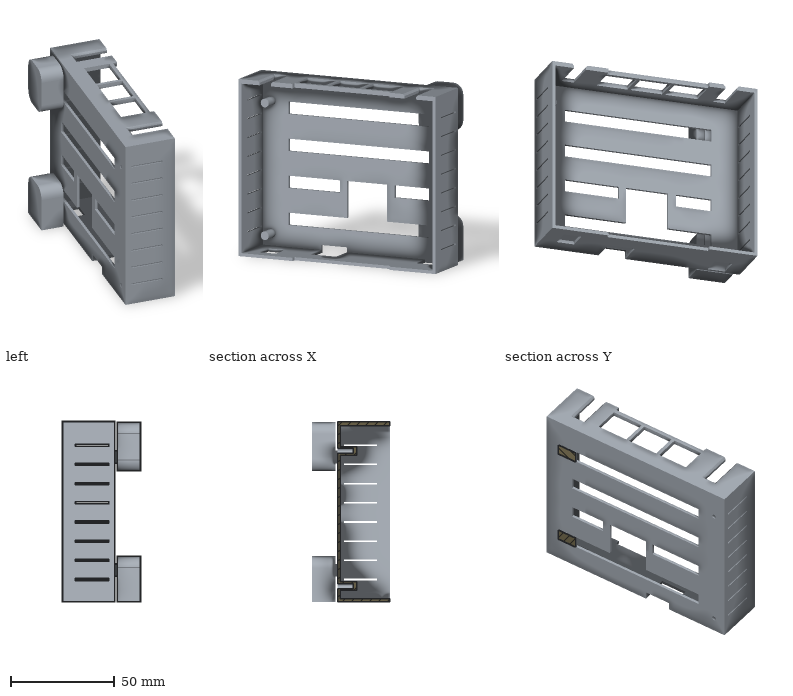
import cadquery as cq

LENGTH = 105.8
HEIGHT = 87.6
DEPTH = 25.5
TOTAL_DEPTH = 38.0
WALL = 1.6
TOP_WALL = 2.2
FRONT_WALL = 1.4

RELIEF_START = 24.9
RELIEF_END = 76.8
RELIEF_DEPTH = 2.1

SLOT_LEFT = 15.1
SLOT_RIGHT = 90.5
SLOT_HEIGHT = 6.1
SLOT_PITCH = 18.3
LOWEST_SLOT = 12.4
SLOT_COUNT = 4
SPLIT_SLOT = 2

OPENING_LEFT = 37.6
OPENING_RIGHT = 59.0
BRIDGE_LEFT = 33.4
BRIDGE_RIGHT = 62.7

CUTOUT_LEFT = OPENING_RIGHT
CUTOUT_RIGHT = 72.8
CUTOUT_HEIGHT = 4.0
CUTOUT_DEPTH = 13.8

WINDOWS = [(RELIEF_START, 41.4), (43.1, 59.1), (60.9, RELIEF_END)]
WINDOW_FRONT = 8.5
WINDOW_BACK = 21.4

NOTCH_CENTERS = [13.5, 91.5]
NOTCH_WIDTH = 6.1
NOTCH_FRONT = 8.0
NOTCH_CHAMFER = 1.0

FLOOR_HOLE_LENGTH = 9.0
FLOOR_HOLE_DEPTH = 10.4
FLOOR_HOLES = [(8.0, FRONT_WALL), (88.7, 9.1)]

VENT_COUNT = 8
VENT_PITCH = 9.3
LOWEST_VENT = 10.9
VENT_FRONT = 3.1
VENT_LENGTH = 16.0
VENT_HEIGHT = 0.79

BOSS_X = 99.6
BOSS_HEIGHTS = [7.7, 73.3]
BOSS_DIAMETER = 4.2
BOSS_END = 9.3
SCREW_HOLE_DIAMETER = 2.2
SCREW_HOLE_DEPTH = 7.4

FOOT_CENTER_X = 12.5
FOOT_WIDTH = 18.6
FOOT_CORNER = 5.4
UPPER_FOOT_BOTTOM = 63.7
UPPER_FOOT_TOP = 87.3
LOWER_FOOT_BOTTOM = 0.0
LOWER_FOOT_TOP = 22.2
PAD_THICKNESS = 1.1
FOOT_THICKNESS = TOTAL_DEPTH - DEPTH - PAD_THICKNESS
PAD_WIDTH = 10.9


def block(x, y, z):
    """A box given by its (start, end) range along each axis."""
    size = (x[1] - x[0], y[1] - y[0], z[1] - z[0])
    return cq.Workplane("XY").box(*size, centered=False).translate((x[0], y[0], z[0]))


def rod(diameter, x, z, y_start, y_end):
    """A cylinder along Y."""
    plane = cq.Plane(origin=(x, y_start, z), xDir=(1, 0, 0), normal=(0, 1, 0))
    return cq.Workplane(plane).circle(diameter / 2).extrude(y_end - y_start)


def slot_bottom(index):
    """Lower edge of a front slot, counted from the top."""
    return LOWEST_SLOT + (SLOT_COUNT - 1 - index) * SLOT_PITCH


def shell():
    """Five-walled box, open at the back, with shortened top and bottom walls."""
    body = block((0, LENGTH), (0, DEPTH), (0, HEIGHT))
    body = body.cut(block((WALL, LENGTH - WALL), (FRONT_WALL, DEPTH), (WALL, HEIGHT - TOP_WALL)))
    return body.cut(block((RELIEF_START, RELIEF_END), (DEPTH - RELIEF_DEPTH, DEPTH), (0, HEIGHT)))


def cut_front_openings(body):
    through = (0, FRONT_WALL)
    for index in range(SLOT_COUNT):
        bottom = slot_bottom(index)
        spans = [(SLOT_LEFT, SLOT_RIGHT)]
        if index == SPLIT_SLOT:
            spans = [(SLOT_LEFT, BRIDGE_LEFT), (BRIDGE_RIGHT, SLOT_RIGHT)]
        for span in spans:
            body = body.cut(block(span, through, (bottom, bottom + SLOT_HEIGHT)))
    opening_z = (LOWEST_SLOT, slot_bottom(SPLIT_SLOT) + SLOT_HEIGHT)
    return body.cut(block((OPENING_LEFT, OPENING_RIGHT), through, opening_z))


def cut_bottom_openings(body):
    cutout_x = (CUTOUT_LEFT, CUTOUT_RIGHT)
    body = body.cut(block(cutout_x, (0, FRONT_WALL), (0, CUTOUT_HEIGHT)))
    body = body.cut(block(cutout_x, (0, CUTOUT_DEPTH), (0, WALL)))
    for left, front in FLOOR_HOLES:
        hole_x = (left, left + FLOOR_HOLE_LENGTH)
        body = body.cut(block(hole_x, (front, front + FLOOR_HOLE_DEPTH), (0, WALL)))
    return body


def cut_windows(body):
    for window in WINDOWS:
        body = body.cut(block(window, (WINDOW_FRONT, WINDOW_BACK), (HEIGHT - TOP_WALL, HEIGHT)))
    return body


def notch_cutter(center_x):
    """Notch volume that widens at 45 degrees over its top."""
    half = NOTCH_WIDTH / 2
    wide = half + NOTCH_CHAMFER
    neck = block((center_x - half, center_x + half), (NOTCH_FRONT, DEPTH), (HEIGHT - TOP_WALL, HEIGHT))
    mouth_depth = DEPTH - NOTCH_FRONT + NOTCH_CHAMFER
    mouth = (
        cq.Workplane("XY", origin=(center_x, DEPTH, HEIGHT))
        .rect(2 * wide, 2 * mouth_depth)
        .workplane(offset=-NOTCH_CHAMFER)
        .rect(2 * half, 2 * (mouth_depth - NOTCH_CHAMFER))
        .loft(ruled=True)
    )
    return neck.union(mouth)


def cut_vents(body):
    for index in range(VENT_COUNT):
        middle = LOWEST_VENT + index * VENT_PITCH
        vent_z = (middle - VENT_HEIGHT / 2, middle + VENT_HEIGHT / 2)
        body = body.cut(block((0, LENGTH), (VENT_FRONT, VENT_FRONT + VENT_LENGTH), vent_z))
    return body


def add_bosses(body):
    for z in BOSS_HEIGHTS:
        body = body.union(rod(BOSS_DIAMETER, BOSS_X, z, FRONT_WALL, BOSS_END))
        body = body.cut(rod(SCREW_HOLE_DIAMETER, BOSS_X, z, 0, SCREW_HOLE_DEPTH))
    return body


def make_housing():
    body = shell()
    body = cut_front_openings(body)
    body = cut_bottom_openings(body)
    body = cut_windows(body)
    for center_x in NOTCH_CENTERS:
        body = body.cut(notch_cutter(center_x))
    body = cut_vents(body)
    return add_bosses(body)


def make_foot(bottom, top, rounded_edges):
    """Block standing off the housing front, rounded along the chosen edges."""
    foot_x = (FOOT_CENTER_X - FOOT_WIDTH / 2, FOOT_CENTER_X + FOOT_WIDTH / 2)
    foot_y = (-PAD_THICKNESS - FOOT_THICKNESS, -PAD_THICKNESS)
    return block(foot_x, foot_y, (bottom, top)).edges(rounded_edges).fillet(FOOT_CORNER)


def make_pad(bottom):
    """Thin plate between the housing and a foot, as tall as a front slot."""
    pad_x = (FOOT_CENTER_X - PAD_WIDTH / 2, FOOT_CENTER_X + PAD_WIDTH / 2)
    return block(pad_x, (-PAD_THICKNESS, 0), (bottom, bottom + SLOT_HEIGHT))


housing = make_housing()
upper_foot = make_foot(UPPER_FOOT_BOTTOM, UPPER_FOOT_TOP, "|Y")
lower_foot = make_foot(LOWER_FOOT_BOTTOM, LOWER_FOOT_TOP, "|Y and >Z")
pads = [make_pad(slot_bottom(index)).val() for index in (0, SLOT_COUNT - 1)]

result = cq.Compound.makeCompound([housing.val(), upper_foot.val(), lower_foot.val(), *pads])